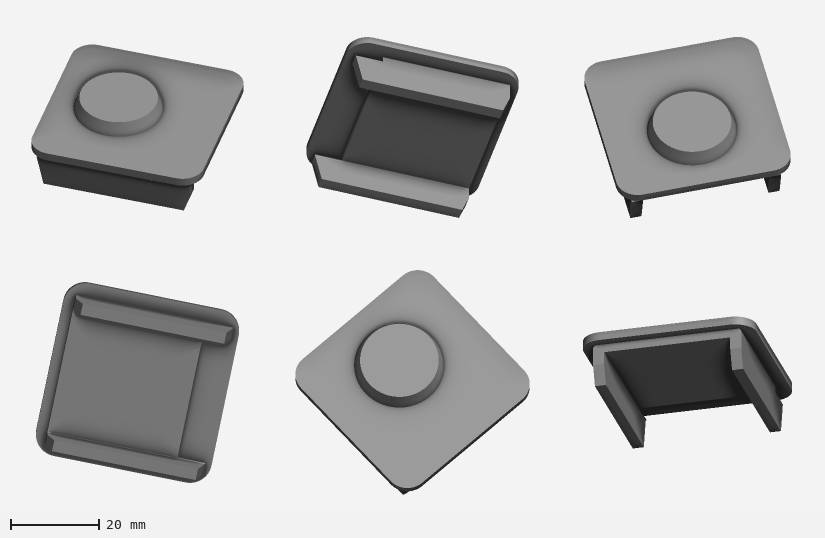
import cadquery as cq

plate_side = 40.5
plate_thickness = 2.0
plate_corner_radius = 4.98

button_x = -4.45
button_base_radius = 10.25
button_top_radius = 8.9
button_height = 3.15

bracket_width = 34.75
bracket_depth = 9.47
web_thickness = 2.0
leg_thickness = 2.6
outer_bend_radius = 0.8
inner_bend_radius = 0.25
web_left_x = -12.22
bracket_right_x = 17.8
leg_left_top_x = -18.62
leg_left_bottom_x = -17
leg_right_bottom_x = 16.2
right_slant_height = 4.57


def make_plate():
    plate = cq.Workplane("XY").rect(plate_side, plate_side).extrude(plate_thickness)
    return plate.edges("|Z").fillet(plate_corner_radius)


def make_button():
    return (
        cq.Workplane("XY", origin=(button_x, 0, plate_thickness))
        .circle(button_base_radius)
        .workplane(offset=button_height)
        .circle(button_top_radius)
        .loft(ruled=True)
    )


def make_bracket():
    outline = [
        (web_left_x, 0),
        (bracket_right_x, 0),
        (bracket_right_x, right_slant_height - bracket_depth),
        (leg_right_bottom_x, -bracket_depth),
        (leg_left_bottom_x, -bracket_depth),
        (leg_left_top_x, -web_thickness),
        (web_left_x, -web_thickness),
    ]
    block = cq.Workplane("XZ").polyline(outline).close().extrude(bracket_width / 2, both=True)
    block = block.faces(">Z").edges("|X").fillet(outer_bend_radius)

    opening_height = bracket_depth - web_thickness
    opening = (
        cq.Workplane("XY")
        .box(plate_side, bracket_width - 2 * leg_thickness, opening_height)
        .edges("|X and >Z")
        .fillet(inner_bend_radius)
        .translate((0, 0, -web_thickness - opening_height / 2))
    )
    return block.cut(opening)


result = make_plate().union(make_button()).union(make_bracket())